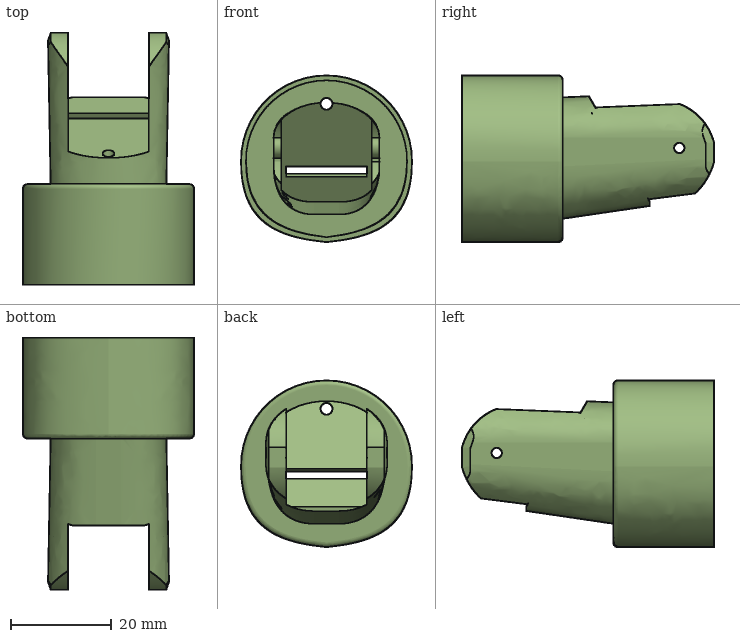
import cadquery as cq
import math

total_length = 50.0
wall = 1.0

cup_length = 20.0
cup_half_width = 33.95 / 2
cup_centre_z = -0.5
cup_cheek_z = -13.0
cup_chin_x = 9.35
cup_chin_z = -15.6
cup_half_height = 33.1 / 2
cup_rim_fillet = 0.95

neck_half_width = 11.5
tip_half_width = 12.05
neck_top = 12.2
tip_top = 13.5
neck_bottom = -11.9
tip_bottom = -7.5
flat_side_top = 4.2
neck_flat_side_bottom = -1.5
tip_flat_side_bottom = 0.0
bottom_flat_half_width = 2.5
belly_fullness = 0.62
bevel_depth = 0.6
bevel_inset = 1.75
bevel_start_x = tip_half_width - bevel_depth

nose_crest_y = 41.0
nose_crest_z = 11.5
nose_upper_mid = (47.0, 8.4)
nose_flat_top = 3.3
nose_flat_bottom = -0.7
nose_lower_mid = (48.7, -3.8)
nose_chin_y = 46.1
nose_chin_z = -7.0

gap_half_width = 8.0
web_angle = 30.0
web_thickness = 1.2
web_foot_y = 37.25
web_foot_z = -8.5
slot_width = 2.3
slot_from_foot = 6.4
vent_diameter = 2.3
vent_z = 10.9

pin_y = 43.1
pin_z = 2.15
pin_diameter = 2.0
boss_diameter = 4.0

pocket_inner_x = gap_half_width + wall
big = 2 * total_length
clearance = 20.0


def across(y):
    """Workplane across the part at y: local x is X, local y is Z, extrusion runs toward -Y."""
    return cq.Workplane("XZ", origin=(0, y, 0))


def cup_outline(y, inset):
    """Circular upper half; the lower half draws in to a faint point at the bottom."""
    side = cup_half_width - inset
    right = (side, cup_centre_z)
    left = (-side, cup_centre_z)
    bottom = (0, -cup_half_height + inset)
    cheek_z = cup_cheek_z + inset
    chin_x = cup_chin_x - inset
    chin_z = cup_chin_z + inset
    return (
        across(y)
        .moveTo(*left)
        .threePointArc((0, cup_half_height - inset), right)
        .bezier([right, (side, cheek_z), (chin_x, chin_z), bottom])
        .bezier([bottom, (-chin_x, chin_z), (-side, cheek_z), left])
        .close()
    )


def section(y, inset):
    """Closed neck section at y: elliptical dome, flat sides, rounded belly with a flat bottom."""
    t = (y - cup_length) / (total_length - cup_length)

    def blend(at_neck, at_tip):
        return at_neck + t * (at_tip - at_neck)

    side = blend(neck_half_width, tip_half_width) - inset
    top = blend(neck_top, tip_top) - inset
    bottom = blend(neck_bottom, tip_bottom) + inset
    belly_z = blend(neck_flat_side_bottom, tip_flat_side_bottom)
    foot = bottom_flat_half_width
    control_x = foot + belly_fullness * (side - foot)
    control_z = belly_z + belly_fullness * (bottom - belly_z)
    sketch = (
        across(y)
        .moveTo(side, flat_side_top)
        .ellipseArc(side, top - flat_side_top, 0, 180, startAtCurrent=True)
        .lineTo(-side, belly_z)
        .bezier([(-side, belly_z), (-side, control_z), (-control_x, bottom), (-foot, bottom)])
        .lineTo(foot, bottom)
        .bezier([(foot, bottom), (control_x, bottom), (side, control_z), (side, belly_z)])
        .close()
    )
    return sketch.val()


def loft(start, inset):
    return cq.Workplane(obj=cq.Solid.makeLoft([section(start, inset), section(total_length, inset)], True))


def tip_profile(x=0):
    """Side outline of the arm tips; its other edges lie outside the neck."""
    return (
        cq.Workplane("YZ", origin=(x, 0, 0))
        .moveTo(0, clearance)
        .lineTo(nose_crest_y - 5, clearance)
        .lineTo(nose_crest_y, nose_crest_z)
        .threePointArc(nose_upper_mid, (total_length, nose_flat_top))
        .lineTo(total_length, nose_flat_bottom)
        .threePointArc(nose_lower_mid, (nose_chin_y, nose_chin_z))
        .lineTo(nose_chin_y - 8, -clearance)
        .lineTo(0, -clearance)
        .close()
    )


def x_cylinder(diameter):
    return cq.Workplane("YZ").center(pin_y, pin_z).circle(diameter / 2).extrude(big, both=True)


def x_band(half_width):
    return cq.Workplane("XY").box(2 * half_width, 2 * big, 2 * big)


def web_block(near, far, half_width, low=-big, high=big):
    """Slanted block: near and far are depths outward from the web face, low and high run up it."""
    tilt = math.radians(web_angle)
    plane = cq.Plane(
        origin=(0, web_foot_y, web_foot_z),
        xDir=(-1, 0, 0),
        normal=(0, math.cos(tilt), math.sin(tilt)),
    )
    sheet = cq.Workplane(plane).workplane(offset=near)
    return sheet.center(0, (low + high) / 2).rect(2 * half_width, high - low).extrude(far - near)


core = tip_profile().extrude(bevel_start_x, both=True)
bevel_taper = math.degrees(math.atan(bevel_inset / bevel_depth))
bevel = tip_profile(bevel_start_x).extrude(bevel_depth, taper=bevel_taper)
tip_block = core.union(bevel).union(bevel.mirror("YZ"))
arms = loft(cup_length - wall, 0).intersect(tip_block)

inner_tip = tip_profile().offset2D(-wall).extrude(big, both=True)
cavity = loft(cup_length - 2 * wall, wall).intersect(inner_tip)
behind_web = web_block(-big, -web_thickness, big)
side_pockets = x_band(big).cut(x_band(pocket_inner_x))
cavity = cavity.intersect(behind_web.union(side_pockets)).cut(x_cylinder(boss_diameter))

cup = cup_outline(cup_length, 0).extrude(cup_length).faces(">Y").edges().fillet(cup_rim_fillet)
cup_hollow = cup_outline(cup_length - wall, wall).extrude(cup_length - wall)

past_lip = across(web_foot_y).rect(2 * gap_half_width, big).extrude(-big)
fork_gap = web_block(0, big, gap_half_width).union(past_lip)
slot = web_block(-2 * web_thickness, web_thickness, gap_half_width, slot_from_foot, slot_from_foot + slot_width)
vent = across(cup_length - 2 * wall).center(0, vent_z).circle(vent_diameter / 2).extrude(-total_length)

result = (
    cup.union(arms)
    .cut(cup_hollow)
    .cut(cavity)
    .cut(fork_gap)
    .cut(slot)
    .cut(vent)
    .cut(x_cylinder(pin_diameter))
)